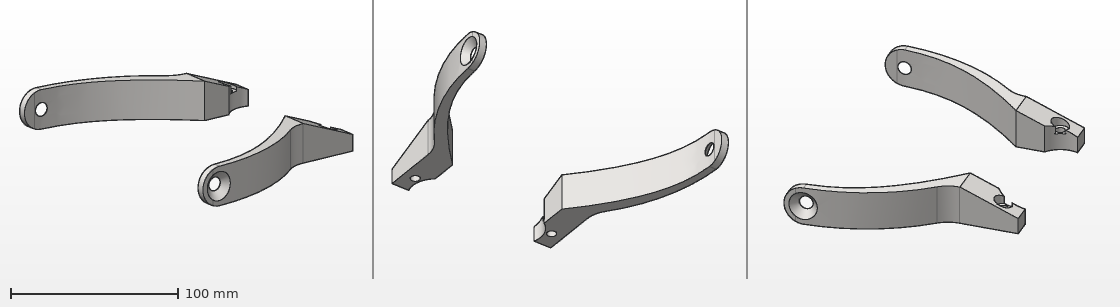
import math

import cadquery as cq


overall_width = 182.43
overall_length = 137.04
height = 25.0
outer_x = overall_width / 2

lug_thickness = 5.0
lug_radius = height / 2
lug_inner_x = outer_x - lug_thickness
lug_flat_top_y = -5.0
plan_end_y = -lug_radius - 1.0
lug_hole_diameter = 8.5
lug_countersink_diameter = 18.5
lug_countersink_angle = 90.0

block_inner_x = 40.0
block_width = 18.2
block_outer_x = block_inner_x + block_width
block_end_y = overall_length - lug_radius
block_start_y = 87.5
block_end_height = 10.5

outer_arm_radius = 125.0
outer_blend_radius = 20.0
inner_arm_middle = (70.2, 49.6)
inner_arm_slant = 44.0

block_hole_x = 50.0
block_hole_y = block_end_y - 12.5
block_hole_diameter = 6.0
counterbore_diameter = 11.0
counterbore_floor_z = 11.0

clearance_radius = 16.25
clearance_x = 30.6
clearance_y = 119.0


def arc_point(center, radius, angle):
    """Point on a circle at an angle in radians from +X."""
    return (center[0] + radius * math.cos(angle), center[1] + radius * math.sin(angle))


def plan_blank():
    """Bracket outline in plan, extruded to the full height."""
    arm_center = (outer_x - outer_arm_radius, lug_flat_top_y)
    blend_center_x = block_outer_x + outer_blend_radius
    center_distance = outer_arm_radius + outer_blend_radius
    outer_sweep = math.acos((blend_center_x - arm_center[0]) / center_distance)
    blend_center = arc_point(arm_center, center_distance, outer_sweep)
    outer_joint = arc_point(arm_center, outer_arm_radius, outer_sweep)

    inner_slant = math.radians(inner_arm_slant)
    inner_end_direction = (-math.sin(inner_slant), math.cos(inner_slant))

    return (
        cq.Workplane("XY")
        .moveTo(lug_inner_x, plan_end_y)
        .lineTo(lug_inner_x, lug_flat_top_y)
        .spline(
            [inner_arm_middle, (block_inner_x, block_start_y)],
            tangents=[(0, 1), inner_end_direction],
            includeCurrent=True,
        )
        .lineTo(block_inner_x, block_end_y)
        .lineTo(block_outer_x, block_end_y)
        .lineTo(block_outer_x, blend_center[1])
        .threePointArc(
            arc_point(blend_center, outer_blend_radius, math.pi + outer_sweep / 2), outer_joint
        )
        .threePointArc(
            arc_point(arm_center, outer_arm_radius, outer_sweep / 2), (outer_x, lug_flat_top_y)
        )
        .lineTo(outer_x, plan_end_y)
        .close()
        .extrude(height)
    )


def side_envelope():
    """Side profile: round lug end, level arm and wedge-shaped block."""
    return (
        cq.Workplane("YZ")
        .moveTo(0, 0)
        .lineTo(block_end_y, 0)
        .lineTo(block_end_y, block_end_height)
        .lineTo(block_start_y, height)
        .lineTo(0, height)
        .threePointArc((-lug_radius, height / 2), (0, 0))
        .close()
        .extrude(outer_x)
    )


def clearance_cutter():
    """Upright cylinder that hollows the inner side of the block."""
    return cq.Workplane("XY").center(clearance_x, clearance_y).circle(clearance_radius).extrude(height)


def block_hole_cutter():
    """Through hole and flat-bottomed counterbore, both along Z."""
    axis = cq.Workplane("XY").center(block_hole_x, block_hole_y)
    hole = axis.circle(block_hole_diameter / 2).extrude(height)
    counterbore = (
        axis.workplane(offset=counterbore_floor_z)
        .circle(counterbore_diameter / 2)
        .extrude(height - counterbore_floor_z)
    )
    return hole.union(counterbore)


def make_bracket():
    """Bracket on the +X side."""
    bracket = plan_blank().intersect(side_envelope())
    bracket = bracket.cut(clearance_cutter()).cut(block_hole_cutter())
    lug_face = cq.Workplane("YZ", origin=(outer_x, 0, height / 2))
    lug_hole = lug_face.circle(lug_hole_diameter / 2).extrude(-2 * lug_thickness)
    countersink_depth = (
        (lug_countersink_diameter - lug_hole_diameter) / 2
        / math.tan(math.radians(lug_countersink_angle / 2))
    )
    countersink = (
        lug_face.circle(lug_countersink_diameter / 2)
        .workplane(offset=-countersink_depth)
        .circle(lug_hole_diameter / 2)
        .loft()
    )
    return bracket.cut(lug_hole).cut(countersink)


right_bracket = make_bracket()
left_bracket = right_bracket.mirror("YZ")

result = cq.Compound.makeCompound([left_bracket.val(), right_bracket.val()])